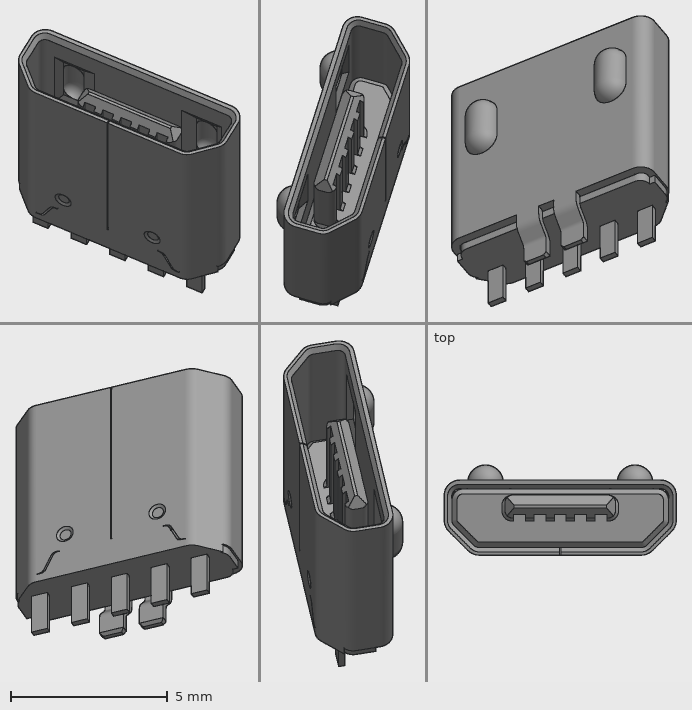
import cadquery as cq
import math

shell_width = 7.4
shell_depth = 2.4
total_height = 8.3
wall = 0.25
rear_wall = 0.28
corner_cut = 0.91
bend_radius = 0.5
rim_flare = 0.14
rim_flare_height = 0.17

half_width = shell_width / 2

base_z = 1.4
shell_bottom_z = 1.7
seam_bottom_z = 2.4
floor_z = 3.49
tongue_top_z = 7.055

seam_width = 0.03
lip_rear_y = 0.76
slit_outer_x = 2.56
slit_inner_x = 1.79
slit_low_bend_x = 2.37
slit_high_bend_x = 2.02
slit_bend_radius = 0.21
slit_run_width = 0.02
slit_slope_width = 0.07

dimple_x = 1.59
dimple_z = 3.005
dimple_diameter = 0.57
dimple_floor_diameter = 0.38
dimple_depth = 0.06

body_corner_radius = 0.35
body_edge_inset = 0.17
body_edge_height = 0.17
flange_inset = 0.06
flange_rear_y = shell_depth - rear_wall - body_corner_radius

tongue_width = 3.72
tongue_front_y = 1.09
tongue_rear_y = 1.92
tongue_corner_radius = 0.33
tongue_foot_height = 0.1
tongue_root = 0.08
tongue_inset = 0.1
tongue_ridge_width = 2.955
tongue_ridge_depth = 0.1
tongue_tip_height = 0.33
contact_pitch = 0.65
contact_groove_width = 0.38
contact_groove_depth = 0.215

contact_count = 5
pin_pitch = 1.38
pin_width = 0.55
pin_front_y = 0.68
pin_thickness = 0.2
tab_x = pin_pitch / 2
tab_width = pin_pitch - pin_width
tab_offset = 0.47
tab_bend_z = 1.28
tab_inner_radius = 0.21
tab_outer_radius = tab_inner_radius + wall
tab_tip_chamfer = 0.1

bulge_x = 2.38
bulge_height = 0.48
bulge_radius = 0.57
bulge_low_z = 5.58
bulge_high_z = 6.64
pocket_radius = 0.365
window_x = 2.275
window_width = 1.43
window_height = 2.47
window_depth = 0.17


def socket_prism(inset, rear_inset, front_radius, rear_radius, bottom, top):
    """Prism of the shell outline, moved inward by inset and at the rear by rear_inset."""
    half = half_width - inset
    front = inset
    rear = shell_depth - rear_inset
    cut = corner_cut - inset * (2 - math.sqrt(2))
    outline = [
        (-half, rear), (-half, front + cut), (-half + cut, front),
        (half - cut, front), (half, front + cut), (half, rear),
    ]
    prism = cq.Workplane("XY").workplane(offset=bottom).polyline(outline).close().extrude(top - bottom)
    prism = prism.edges("|Z").edges(">Y").fillet(rear_radius)
    front_edges = cq.selectors.BoxSelector(
        (-half - 0.08, front - 0.08, bottom - 0.08), (half + 0.08, front + cut + 0.08, top + 0.08))
    return prism.edges("|Z").edges(front_edges).fillet(front_radius)


def row_positions(pitch):
    """X positions of a row of contacts, centred on the part."""
    return [(index - (contact_count - 1) / 2) * pitch for index in range(contact_count)]


def box(x_min, x_max, y_min, y_max, z_min, z_max):
    return (cq.Workplane("XY").box(x_max - x_min, y_max - y_min, z_max - z_min, centered=False)
            .translate((x_min, y_min, z_min)))


def capsule(x, radius):
    """Upright round-ended bar on the axis of a rear bulge."""
    axis_y = shell_depth + bulge_height - bulge_radius
    profile = (cq.Workplane("XZ").moveTo(0, bulge_low_z - radius)
               .radiusArc((radius, bulge_low_z), -radius)
               .lineTo(radius, bulge_high_z)
               .radiusArc((0, bulge_high_z + radius), -radius).close())
    return profile.revolve(360, (0, 0, 0), (0, 1, 0)).translate((x, axis_y, 0))


def tapered_end(prism, height, taper):
    """Tapered block standing on the top face of a prism."""
    outline = prism.faces(">Z").wires().toPending().workplane(origin=(0, 0, 0))
    return outline.extrude(height, taper=taper, combine=False)


def taper_angle(inset, height):
    return math.degrees(math.atan2(inset, height))


def make_shell():
    outer = socket_prism(0, 0, bend_radius, bend_radius, base_z, total_height)
    inner_radius = bend_radius - wall
    cavity = socket_prism(wall, rear_wall, inner_radius, inner_radius,
                          base_z, total_height - rim_flare_height)
    flare = tapered_end(cavity, rim_flare_height, -taper_angle(rim_flare, rim_flare_height))
    below = box(-half_width, half_width, lip_rear_y, shell_depth, base_z, shell_bottom_z)
    seam = box(-seam_width / 2, seam_width / 2, 0, wall, seam_bottom_z, total_height)
    return outer.cut(cavity).cut(flare).cut(below).cut(seam)


def make_slit():
    """S-shaped relief slit through the front wall, on the -X side."""
    low = shell_bottom_z
    high = seam_bottom_z
    outline = [
        (-slit_outer_x, low), (-slit_low_bend_x, low), (-slit_high_bend_x, high), (-slit_inner_x, high),
        (-slit_inner_x, high - slit_run_width),
        (-slit_high_bend_x + slit_slope_width, high - slit_run_width),
        (-slit_low_bend_x + slit_slope_width, low - slit_run_width),
        (-slit_outer_x, low - slit_run_width),
    ]
    slit = cq.Workplane("XZ").polyline(outline).close().extrude(-wall)
    bends = cq.selectors.BoxSelector((-slit_low_bend_x - 0.01, -0.08, low - 0.08),
                                     (-slit_high_bend_x + slit_slope_width + 0.01, wall + 0.08, high + 0.08))
    return slit.edges("|Y").edges(bends).fillet(slit_bend_radius)


def make_dimple(x):
    return cq.Workplane(cq.Solid.makeCone(
        dimple_diameter / 2, dimple_floor_diameter / 2, dimple_depth,
        cq.Vector(x, 0, dimple_z), cq.Vector(0, 1, 0)))


def make_body():
    """Moulded insulator that fills the lower part of the shell."""
    core = socket_prism(wall, rear_wall, bend_radius - wall, body_corner_radius,
                        base_z, floor_z - body_edge_height)
    edge = tapered_end(core, body_edge_height, taper_angle(body_edge_inset, body_edge_height))
    flange = socket_prism(flange_inset, rear_wall, bend_radius - flange_inset, body_corner_radius,
                          base_z, shell_bottom_z)
    flange = flange.intersect(box(-half_width, half_width, lip_rear_y, flange_rear_y, base_z, shell_bottom_z))
    return core.union(edge).union(flange)


def make_tongue():
    """Contact tongue with a wedge-shaped tip and open contact grooves on its front."""
    plan = cq.Workplane("XY").workplane(offset=floor_z)
    foot_plan = plan.center(0, (tongue_front_y + tongue_rear_y) / 2)
    root = foot_plan.rect(tongue_width, tongue_rear_y - tongue_front_y).extrude(-tongue_root)
    root = root.edges("|Z").fillet(tongue_corner_radius)
    foot = tapered_end(root, tongue_foot_height, taper_angle(tongue_inset, tongue_foot_height))

    stem_width = tongue_width - 2 * tongue_inset
    stem_depth = tongue_rear_y - tongue_front_y - tongue_inset
    plan = plan.center(0, tongue_rear_y - stem_depth / 2)
    straight_height = tongue_top_z - tongue_tip_height - floor_z
    stem = plan.rect(stem_width, stem_depth).extrude(tongue_top_z - floor_z)
    stem = stem.edges("|Z").fillet(tongue_corner_radius - tongue_inset)
    straight = plan.rect(stem_width, stem_depth).extrude(straight_height)
    wedge = (plan.workplane(offset=straight_height).rect(stem_width, stem_depth)
             .workplane(offset=tongue_tip_height).rect(tongue_ridge_width, tongue_ridge_depth).loft())
    tongue = root.union(foot).union(stem.intersect(straight.union(wedge)))
    for x in row_positions(contact_pitch):
        tongue = tongue.cut(box(
            x - contact_groove_width / 2, x + contact_groove_width / 2,
            tongue_front_y, tongue_front_y + contact_groove_depth, floor_z, tongue_top_z))
    return tongue


def make_pin(x):
    return box(x - pin_width / 2, x + pin_width / 2, pin_front_y, pin_front_y + pin_thickness, 0, base_z)


def make_tab(x):
    """Solder tab that leaves the rear wall and steps forward at 45 degrees."""
    rear = shell_depth
    front = shell_depth - wall
    corner_shift = wall * math.tan(math.radians(22.5))
    lower_bend_z = tab_bend_z - tab_offset
    outline = [
        (rear, shell_bottom_z), (front, shell_bottom_z), (front, tab_bend_z),
        (front - tab_offset, lower_bend_z), (front - tab_offset, 0), (rear - tab_offset, 0),
        (rear - tab_offset, lower_bend_z - corner_shift), (rear, tab_bend_z - corner_shift),
    ]
    tab = cq.Workplane("YZ").workplane(offset=x - tab_width / 2).polyline(outline).close().extrude(tab_width)

    def bend(y, z):
        return cq.selectors.BoxSelector((x - tab_width, y - 0.01, z - 0.01), (x + tab_width, y + 0.01, z + 0.01))

    tab = tab.edges("|X").edges(bend(front, tab_bend_z)).fillet(tab_inner_radius)
    tab = tab.edges("|X").edges(bend(rear - tab_offset, lower_bend_z - corner_shift)).fillet(tab_inner_radius)
    tab = tab.edges("|X").edges(bend(front - tab_offset, lower_bend_z)).fillet(tab_outer_radius)
    tab = tab.edges("|X").edges(bend(rear, tab_bend_z - corner_shift)).fillet(tab_outer_radius)
    return tab.faces("<Z").edges("|Y or <Y").chamfer(tab_tip_chamfer)


def make_bulge(x):
    return capsule(x, bulge_radius).intersect(
        box(x - bulge_radius, x + bulge_radius, shell_depth - wall, shell_depth + bulge_height, 0, total_height))


def make_pocket(side):
    """Hollow of a rear bulge, opening through a sloped window in the inner face of the wall."""
    inner_y = shell_depth - rear_wall
    hollow_x = side * bulge_x
    hollow = capsule(hollow_x, pocket_radius).intersect(
        box(hollow_x - pocket_radius, hollow_x + pocket_radius, inner_y, shell_depth + bulge_height,
            0, total_height))
    middle_z = (bulge_low_z + bulge_high_z) / 2
    window = (cq.Workplane("XZ", origin=(0, inner_y, middle_z))
              .center(side * window_x, 0).rect(window_width, window_height)
              .workplane(offset=-window_depth).center(side * (bulge_x - window_x), 0)
              .rect(2 * pocket_radius, bulge_high_z - bulge_low_z + 2 * pocket_radius).loft())
    return hollow.union(window)


slit = make_slit()
result = make_shell().cut(slit).cut(slit.mirror("YZ"))
for side in (-1, 1):
    result = result.cut(make_dimple(side * dimple_x))
    result = result.union(make_bulge(side * bulge_x))
    result = result.cut(make_pocket(side))
    result = result.union(make_tab(side * tab_x))
result = result.union(make_body()).union(make_tongue())
for pin_x in row_positions(pin_pitch):
    result = result.union(make_pin(pin_x))